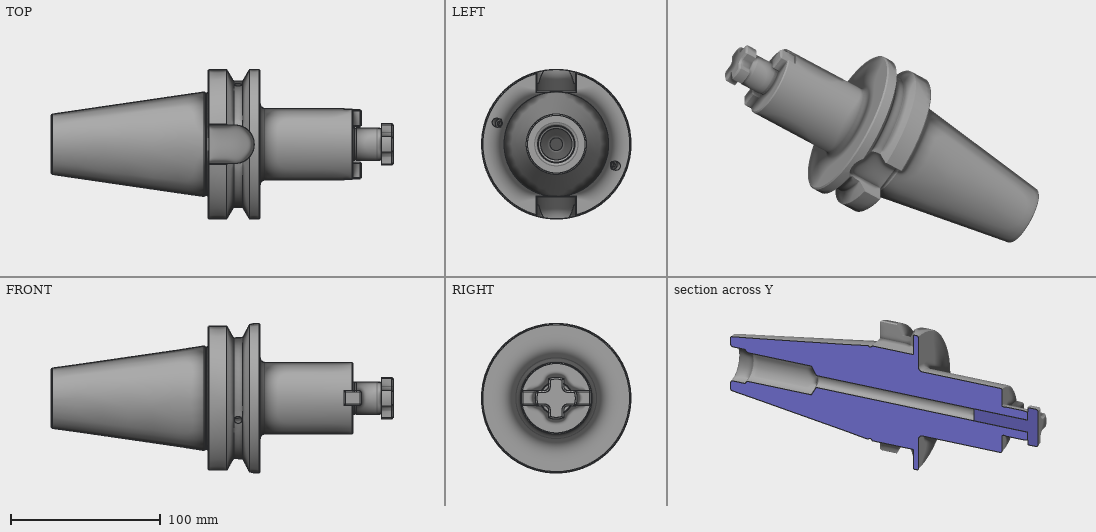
import cadquery as cq
import math

GAUGE_RADIUS = 69.85 / 2
TAPER_LENGTH = 101.8
TAPER_SLOPE = 7 / 48
TAPER_END_CHAMFER = 0.8
TAPER_OVERRUN = 0.5
NECK_RADIUS = 34.2
NECK_START = 1.4
NECK_CORNER_RADIUS = 0.8

FLANGE_RADIUS = 50.0
FLANGE_FRONT = 3.0
FLANGE_BACK = 38.0
FLANGE_CHAMFER = 0.9
GROOVE_FLOOR_RADIUS = 42.4
GROOVE_FLOOR_WIDTH = 6.5
GROOVE_CENTRE = 23.2
GROOVE_HALF_ANGLE = math.radians(30)
GROOVE_CORNER_RADIUS = 0.6

SLOT_WIDTH = 25.7
SLOT_FLOOR = 35.4
SLOT_END = 34.0
SLOT_EDGE_CHAMFER = 0.7

NOSE_RADIUS = 24.0
NOSE_END = 100.0
NOSE_CHAMFER = 0.8
NOSE_FILLET = 3.0
PILOT_RADIUS = 11.0
PILOT_END = 119.0
PILOT_CHAMFER_LENGTH = 2.5
PILOT_CHAMFER_DEPTH = 0.4
PILOT_TIP_LENGTH = 0.5
RELIEF_RADIUS = 10.7
RELIEF_START = 1.0
RELIEF_END = 2.2

MOUTH_ROUND = 2.0
COUNTERBORE_RADIUS = 12.5
COUNTERBORE_DEPTH = 11.0
THREAD_MOUTH_RADIUS = 12.0
THREAD_BORE_RADIUS = 10.5
THREAD_BORE_DEPTH = 60.0
DRILL_POINT_HALF_ANGLE = math.radians(59)
SCREW_HOLE_RADIUS = 4.25

COOLANT_ANGLE = 20.0
INLET_RADIUS = 3.0
INLET_OFFSET = 42.0
INLET_TILT = math.radians(30)
GROOVE_HOLE_RADIUS = 2.5
PLUG_RECESS = 3.0
PLUG_LENGTH = 6.0
SOCKET_ACROSS_FLATS = 3.0
SOCKET_DEPTH = 2.5

KEY_WIDTH = 10.0
KEY_LENGTH = 11.6
KEY_PROJECTION = 5.6
KEY_INNER = 11.7
KEY_OUTER = 23.2
KEY_CHAMFER = 1.0

HEAD_RADIUS = 14.0
HEAD_THICKNESS = 8.0
HEAD_ARM_WIDTH = 10.2
HEAD_VALLEY_RADIUS = 2.8
HEAD_CHAMFER = 1.2
SCREW_SHANK_LENGTH = 40.0


def revolve_about_x(profile):
    return profile.close().revolve(360, (0, 0, 0), (1, 0, 0))


def half_turn(shape, turns):
    return shape.rotate((0, 0, 0), (1, 0, 0), 180 * turns)


def holder_blank():
    rear = -TAPER_LENGTH
    rear_radius = GAUGE_RADIUS - TAPER_SLOPE * TAPER_LENGTH
    chamfer_end_radius = rear_radius + TAPER_SLOPE * TAPER_END_CHAMFER
    groove_run = (FLANGE_RADIUS - GROOVE_FLOOR_RADIUS) * math.tan(GROOVE_HALF_ANGLE)
    floor_start = GROOVE_CENTRE - GROOVE_FLOOR_WIDTH / 2
    floor_end = GROOVE_CENTRE + GROOVE_FLOOR_WIDTH / 2
    pilot_tip = PILOT_END - PILOT_TIP_LENGTH

    blank = revolve_about_x(
        cq.Workplane("XY")
        .moveTo(rear, 0)
        .lineTo(rear, rear_radius - TAPER_END_CHAMFER)
        .lineTo(rear + TAPER_END_CHAMFER, chamfer_end_radius)
        .lineTo(TAPER_OVERRUN, GAUGE_RADIUS + TAPER_SLOPE * TAPER_OVERRUN)
        .lineTo(NECK_START, NECK_RADIUS)
        .lineTo(FLANGE_FRONT - NECK_CORNER_RADIUS, NECK_RADIUS)
        .radiusArc((FLANGE_FRONT, NECK_RADIUS + NECK_CORNER_RADIUS), -NECK_CORNER_RADIUS)
        .lineTo(FLANGE_FRONT, FLANGE_RADIUS - FLANGE_CHAMFER)
        .lineTo(FLANGE_FRONT + FLANGE_CHAMFER, FLANGE_RADIUS)
        .lineTo(FLANGE_BACK - FLANGE_CHAMFER, FLANGE_RADIUS)
        .lineTo(FLANGE_BACK, FLANGE_RADIUS - FLANGE_CHAMFER)
        .lineTo(FLANGE_BACK, NOSE_RADIUS + NOSE_FILLET)
        .radiusArc((FLANGE_BACK + NOSE_FILLET, NOSE_RADIUS), -NOSE_FILLET)
        .lineTo(NOSE_END - NOSE_CHAMFER, NOSE_RADIUS)
        .lineTo(NOSE_END, NOSE_RADIUS - NOSE_CHAMFER)
        .lineTo(NOSE_END, PILOT_RADIUS)
        .lineTo(NOSE_END + RELIEF_START, PILOT_RADIUS)
        .lineTo(NOSE_END + RELIEF_START, RELIEF_RADIUS)
        .lineTo(NOSE_END + RELIEF_END, RELIEF_RADIUS)
        .lineTo(NOSE_END + RELIEF_END, PILOT_RADIUS)
        .lineTo(pilot_tip - PILOT_CHAMFER_LENGTH, PILOT_RADIUS)
        .lineTo(pilot_tip, PILOT_RADIUS - PILOT_CHAMFER_DEPTH)
        .lineTo(PILOT_END, PILOT_RADIUS - PILOT_CHAMFER_DEPTH)
        .lineTo(PILOT_END, 0)
    )
    groove = revolve_about_x(
        cq.Workplane("XY")
        .moveTo(floor_start - groove_run, FLANGE_RADIUS)
        .lineTo(floor_start, GROOVE_FLOOR_RADIUS)
        .lineTo(floor_end, GROOVE_FLOOR_RADIUS)
        .lineTo(floor_end + groove_run, FLANGE_RADIUS)
    )
    inner_corners = cq.selectors.RadiusNthSelector(0)
    return blank.cut(groove.edges(inner_corners).fillet(GROOVE_CORNER_RADIUS))


def cut_driving_slot(blank):
    """Cut the slot on the +Z side and chamfer its edges on the flange face and the front collar's rim."""
    half_width = SLOT_WIDTH / 2
    arc_centre = SLOT_END - half_width
    slot = (
        cq.Workplane("XY", origin=(0, 0, SLOT_FLOOR))
        .moveTo(0, -half_width)
        .lineTo(arc_centre, -half_width)
        .threePointArc((SLOT_END, 0), (arc_centre, half_width))
        .lineTo(0, half_width)
        .close()
        .extrude(FLANGE_RADIUS - SLOT_FLOOR)
    )
    margin = 0.1
    reach = half_width + margin
    face_start = FLANGE_FRONT - margin
    rim_end = GROOVE_CENTRE - GROOVE_FLOOR_WIDTH
    rim_height = math.sqrt(FLANGE_RADIUS**2 - half_width**2) - 2 * FLANGE_CHAMFER
    face_edges = cq.selectors.BoxSelector(
        (face_start, -reach, SLOT_FLOOR - margin), (FLANGE_FRONT + margin, reach, FLANGE_RADIUS)
    )
    rim_edges = cq.selectors.BoxSelector(
        (face_start, -reach, rim_height), (rim_end, reach, FLANGE_RADIUS)
    )
    return blank.cut(slot).edges(face_edges + rim_edges).chamfer(SLOT_EDGE_CHAMFER)


def pull_stud_bore():
    rear = -TAPER_LENGTH
    thread_start = rear + COUNTERBORE_DEPTH
    thread_chamfer = THREAD_MOUTH_RADIUS - THREAD_BORE_RADIUS
    bore_end = rear + THREAD_BORE_DEPTH
    cone_length = (THREAD_BORE_RADIUS - SCREW_HOLE_RADIUS) / math.tan(DRILL_POINT_HALF_ANGLE)
    return revolve_about_x(
        cq.Workplane("XY")
        .moveTo(rear, 0)
        .lineTo(rear, COUNTERBORE_RADIUS + MOUTH_ROUND)
        .radiusArc((rear + MOUTH_ROUND, COUNTERBORE_RADIUS), -MOUTH_ROUND)
        .lineTo(thread_start, COUNTERBORE_RADIUS)
        .lineTo(thread_start, THREAD_MOUTH_RADIUS)
        .lineTo(thread_start + thread_chamfer, THREAD_BORE_RADIUS)
        .lineTo(bore_end, THREAD_BORE_RADIUS)
        .lineTo(bore_end + cone_length, SCREW_HOLE_RADIUS)
        .lineTo(PILOT_END, SCREW_HOLE_RADIUS)
        .lineTo(PILOT_END, 0)
    )


def place_at_side(shape, side):
    """Turn a shape built on the +Y side to one of the two coolant positions."""
    return shape.rotate((0, 0, 0), (1, 0, 0), COOLANT_ANGLE + 180 * side)


def inlet_plane():
    """Sketch plane square to an inclined inlet, where its axis meets the flange face."""
    inward = (math.cos(INLET_TILT), -math.sin(INLET_TILT), 0)
    return cq.Plane(origin=(FLANGE_FRONT, INLET_OFFSET, 0), xDir=(0, 0, 1), normal=inward)


def coolant_channel(side):
    reach = GROOVE_CENTRE - FLANGE_FRONT
    meeting_offset = INLET_OFFSET - reach * math.tan(INLET_TILT)
    inlet_length = reach / math.cos(INLET_TILT)
    overrun = 2 * INLET_RADIUS
    inlet = cq.Workplane(inlet_plane()).workplane(offset=-overrun)
    inlet = inlet.circle(INLET_RADIUS).extrude(inlet_length + 2 * overrun)
    groove_hole = (
        cq.Workplane("XZ", origin=(GROOVE_CENTRE, meeting_offset, 0))
        .circle(GROOVE_HOLE_RADIUS)
        .extrude(meeting_offset - FLANGE_RADIUS)
    )
    return place_at_side(inlet.union(groove_hole), side)


def coolant_plug(side):
    """Set screw with a hexagon socket, sunk in the inlet."""
    socket_across_corners = SOCKET_ACROSS_FLATS / math.cos(math.radians(30))
    sketch = cq.Workplane(inlet_plane()).workplane(offset=PLUG_RECESS)
    body = sketch.circle(INLET_RADIUS).extrude(PLUG_LENGTH)
    socket = sketch.polygon(6, socket_across_corners).extrude(SOCKET_DEPTH)
    return place_at_side(body.cut(socket), side)


def key_block(outer):
    start = NOSE_END + KEY_PROJECTION - KEY_LENGTH
    block = cq.Workplane("XY", origin=(start, KEY_INNER, 0))
    return block.box(KEY_LENGTH, outer - KEY_INNER, KEY_WIDTH, centered=(False, False, True))


def drive_key(side):
    return half_turn(key_block(KEY_OUTER).edges().chamfer(KEY_CHAMFER), side)


def retaining_screw():
    plane = cq.Workplane("YZ", origin=(PILOT_END, 0, 0))
    arm = plane.rect(2 * HEAD_RADIUS, HEAD_ARM_WIDTH).extrude(HEAD_THICKNESS)
    cross = arm.union(arm.rotate((0, 0, 0), (1, 0, 0), 90))
    valley_edges = cq.selectors.BoxSelector(
        (PILOT_END, -HEAD_ARM_WIDTH, -HEAD_ARM_WIDTH),
        (PILOT_END + HEAD_THICKNESS, HEAD_ARM_WIDTH, HEAD_ARM_WIDTH),
    )
    cross = cross.edges("|X").edges(valley_edges).fillet(HEAD_VALLEY_RADIUS)
    head = cross.intersect(plane.circle(HEAD_RADIUS).extrude(HEAD_THICKNESS))
    head = head.faces(">X").chamfer(HEAD_CHAMFER)
    shank = plane.circle(SCREW_HOLE_RADIUS).extrude(-SCREW_SHANK_LENGTH)
    return head.union(shank)


SIDES = (0, 1)

holder = holder_blank().cut(pull_stud_bore())
for _ in SIDES:
    holder = half_turn(cut_driving_slot(holder), 1)
for side in SIDES:
    holder = holder.cut(coolant_channel(side))
    holder = holder.cut(half_turn(key_block(NOSE_RADIUS), side))

drive_keys = [drive_key(side) for side in SIDES]
coolant_plugs = [coolant_plug(side) for side in SIDES]
screw = retaining_screw()

result = cq.Compound.makeCompound(
    [holder.val(), screw.val()]
    + [key.val() for key in drive_keys]
    + [plug.val() for plug in coolant_plugs]
)